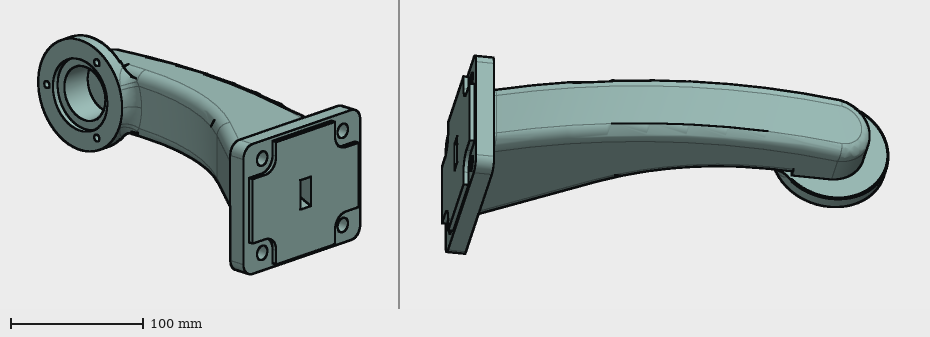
import cadquery as cq
import math


overall_length = 322.5
overall_width = 162.0
overall_height = 104.0

flange_diameter = 88.0
flange_radius = flange_diameter / 2
flange_thickness = 12.0
flange_chamfer = 1.0
screw_hole_diameter = 5.5
screw_hole_depth = 9.7
screw_circle_radius = 34.8
first_screw_angle = 60
screw_count = 3

bore_diameter = 43.0
bore_depth = 30.5
counterbore_diameter = 57.0
counterbore_depth = 5.0

arm_height = 54.0
arm_half_height = arm_height / 2
arm_end_reach = 25.0
arm_edge_fillet = 10.0
arm_top_y = 54.0
arm_top_apex_x = 75.8
arm_top_radius = 438.5
arm_under_y = 10.5
arm_under_apex_x = 49.0
arm_under_radius = 206.3
arm_under_slope = math.radians(36.8)
arm_under_start_x = 30.5
flange_blend_radius = 10.0
plate_weld_fillet = 2.0

plate_thickness = 14.0
plate_width = 127.7
plate_corner_radius = 10.0
bolt_hole_diameter = 11.3
bolt_pitch_y = 88.0
bolt_pitch_z = 75.5
bolt_center_y = -43.5

pad_thickness = 4.0
pad_width = 115.7
pad_height = 98.0
notch_radius = 12.0

duct_height = 23.5
duct_width = 11.5
duct_bend_x = 129

pad_back_x = overall_length - flange_radius
plate_back_x = pad_back_x - pad_thickness
plate_front_x = plate_back_x - plate_thickness
plate_center_y = arm_top_y - overall_width + plate_width / 2


def arc_drop(radius, offset):
    """Distance a circular arc falls away from its apex at a given offset."""
    return radius - math.sqrt(radius**2 - offset**2)


def arm_top(x):
    """Y of the upper edge of the arm."""
    return arm_top_y - arc_drop(arm_top_radius, x - arm_top_apex_x)


def arm_under(x):
    """Y of the curved part of the lower edge of the arm."""
    return arm_under_y - arc_drop(arm_under_radius, x - arm_under_apex_x)


def edge_nearest(x, y, z):
    """Selects the edge whose centre is closest to a point."""
    return cq.selectors.NearestToPointSelector((x, y, z))


def arm():
    tangent_x = arm_under_apex_x + arm_under_radius * math.sin(arm_under_slope)
    tangent_y = arm_under(tangent_x)
    lower_end_y = tangent_y - (plate_front_x - tangent_x) * math.tan(arm_under_slope)
    arc_middle_x = (arm_under_apex_x + tangent_x) / 2
    base_y = arm_under_y / 2

    side_shape = (
        cq.Workplane("XY")
        .moveTo(-arm_end_reach, base_y)
        .lineTo(-arm_end_reach, arm_top(-arm_end_reach))
        .threePointArc((arm_top_apex_x, arm_top_y), (plate_front_x, arm_top(plate_front_x)))
        .lineTo(plate_front_x, lower_end_y)
        .lineTo(tangent_x, tangent_y)
        .threePointArc((arc_middle_x, arm_under(arc_middle_x)), (arm_under_apex_x, arm_under_y))
        .lineTo(arm_under_start_x, arm_under_y)
        .lineTo(arm_under_start_x, base_y)
        .close()
        .extrude(arm_half_height, both=True)
    )
    plan_shape = (
        cq.Workplane("XZ")
        .moveTo(plate_front_x, arm_half_height)
        .lineTo(0, arm_half_height)
        .threePointArc((-arm_end_reach, 0), (0, -arm_half_height))
        .lineTo(plate_front_x, -arm_half_height)
        .close()
        .extrude(overall_width, both=True)
    )
    body = side_shape.intersect(plan_shape)

    under_corner = (arc_middle_x, arm_under(arc_middle_x))
    for side in (arm_half_height, -arm_half_height):
        body = body.edges(edge_nearest(*under_corner, side)).fillet(arm_edge_fillet)
    top_middle = (plate_front_x / 2, arm_top(plate_front_x / 2))
    end_corner = (-arm_end_reach, arm_top(-arm_end_reach))
    top_edges = edge_nearest(*top_middle, arm_half_height) + edge_nearest(*top_middle, -arm_half_height)
    end_edges = edge_nearest(*end_corner, 3.2) + edge_nearest(*end_corner, -3.2)
    return body.edges(top_edges + end_edges).fillet(arm_edge_fillet)


def flange():
    return cq.Workplane("XZ").circle(flange_radius).extrude(-flange_thickness)


def flange_back_chamfer():
    """Ring that bevels the back edge of the flange, clear of the arm."""
    bevel_start_y = flange_thickness - flange_chamfer
    ring = (
        cq.Workplane("XY")
        .moveTo(flange_radius, bevel_start_y)
        .lineTo(flange_radius, flange_thickness)
        .lineTo(flange_radius - flange_chamfer, flange_thickness)
        .close()
        .revolve(360, (0, 0, 0), (0, 1, 0))
    )
    span = 2 * flange_radius
    keep = cq.Workplane("XY").box(span, span, span).translate((arm_under_start_x - flange_radius, 0, 0))
    return ring.intersect(keep)


def plate_block(front_x, thickness, width, height):
    """Rectangular block centred on the mounting plate."""
    return (
        cq.Workplane("YZ", origin=(front_x, plate_center_y, 0))
        .rect(width, height)
        .extrude(thickness)
    )


def plate():
    block = plate_block(plate_front_x, plate_thickness, plate_width, overall_height)
    return block.edges("|X").fillet(plate_corner_radius)


def pad():
    body = plate_block(plate_back_x, pad_thickness, pad_width, pad_height)
    for side_y in (1, -1):
        for side_z in (1, -1):
            bolt_y = plate_center_y + side_y * bolt_pitch_y / 2
            bolt_z = side_z * bolt_pitch_z / 2
            reach = 2 * notch_radius
            notch = (
                cq.Workplane("YZ", origin=(plate_back_x, bolt_y, bolt_z))
                .moveTo(-side_y * notch_radius, 0)
                .lineTo(-side_y * notch_radius, side_z * reach)
                .lineTo(side_y * reach, side_z * reach)
                .lineTo(side_y * reach, -side_z * notch_radius)
                .lineTo(0, -side_z * notch_radius)
                .radiusArc((-side_y * notch_radius, 0), side_y * side_z * notch_radius)
                .close()
                .extrude(pad_thickness)
            )
            body = body.cut(notch)
    return body


def flange_holes():
    screws = (
        cq.Workplane("XZ")
        .polarArray(screw_circle_radius, first_screw_angle, 360, screw_count)
        .circle(screw_hole_diameter / 2)
        .extrude(-screw_hole_depth)
    )
    bore = cq.Workplane("XZ").circle(bore_diameter / 2).extrude(-bore_depth)
    counterbore = cq.Workplane("XZ").circle(counterbore_diameter / 2).extrude(-counterbore_depth)
    return screws.union(bore).union(counterbore)


def bolt_holes():
    return (
        cq.Workplane("YZ", origin=(plate_front_x, bolt_center_y, 0))
        .rect(bolt_pitch_y, bolt_pitch_z, forConstruction=True)
        .vertices()
        .circle(bolt_hole_diameter / 2)
        .extrude(plate_thickness + pad_thickness)
    )


def duct():
    """Runs straight from the bore, then bends down to the middle of the plate."""
    back_y = bore_depth
    front_y = bore_depth - duct_width
    return (
        cq.Workplane("XY")
        .moveTo(0, front_y)
        .lineTo(duct_bend_x, front_y)
        .lineTo(pad_back_x, plate_center_y - duct_width / 2)
        .lineTo(pad_back_x, plate_center_y + duct_width / 2)
        .lineTo(duct_bend_x, back_y)
        .lineTo(0, back_y)
        .close()
        .extrude(duct_height / 2, both=True)
    )


def arm_root_edges():
    """Selects the edges where the arm meets the plate, but not the outline of the plate."""
    half_width = plate_width / 2 - plate_weld_fillet
    half_height = arm_half_height + plate_weld_fillet
    half_depth = plate_weld_fillet / 2
    return cq.selectors.BoxSelector(
        (plate_front_x - half_depth, plate_center_y - half_width, -half_height),
        (plate_front_x + half_depth, plate_center_y + half_width, half_height),
    )


result = arm().union(flange())
result = result.edges(edge_nearest(flange_radius, arm_under_y, 3.2)).fillet(flange_blend_radius)
result = result.union(plate())
result = result.edges(arm_root_edges()).fillet(plate_weld_fillet)
result = result.union(pad())
result = result.cut(flange_back_chamfer()).cut(flange_holes()).cut(bolt_holes()).cut(duct())